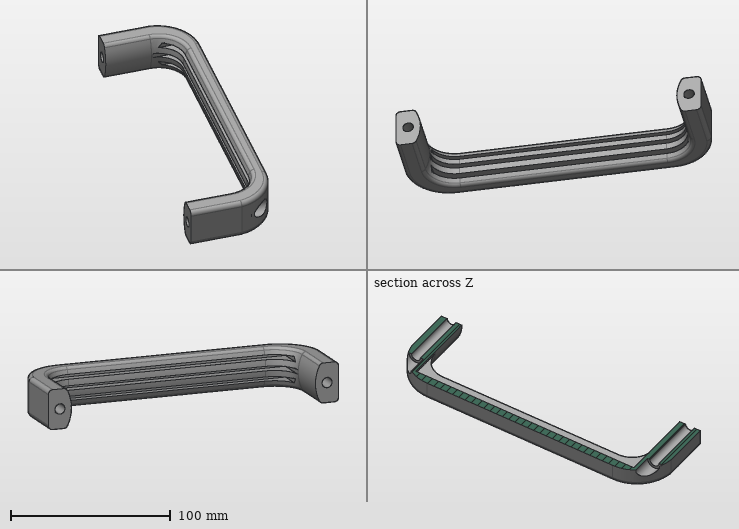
import cadquery as cq
import math

length = 195.0
depth = 58.0
height = 26.0
half_height = height / 2

outer_fillet = 3.0
crown_fillet = 3.0
crown_rise = 5.3
leg_thickness = 15.6
bar_thickness = 12.0
crown_radius = (
    (half_height - crown_fillet) ** 2 + crown_rise**2 - crown_fillet**2
) / (2 * (crown_rise - crown_fillet))

bend_start_y = 30.0
outer_bend_inset = 27.7
outer_bend_radius = depth - bend_start_y
inner_bend_inset = leg_thickness + depth - bar_thickness - bend_start_y
crown_edge_radius = inner_bend_inset - leg_thickness + crown_rise

hole_inset = leg_thickness / 2
hole_diameter = 6.6
counterbore_diameter = 10.3
counterbore_floor_y = 40.4

groove_width = 3.0
groove_pitch = 7.0
groove_depth = 6.2

clearance = 2.0
mid_x = length / 2


def outer_body():
    """Solid D-shaped plate with rounded outer edges."""
    corner_y = bend_start_y + math.sqrt(outer_bend_radius**2 - outer_bend_inset**2)
    corner_angle = math.acos(-outer_bend_inset / outer_bend_radius)
    mid_angle = (corner_angle + math.pi / 2) / 2
    arc_mid_x = outer_bend_inset + outer_bend_radius * math.cos(mid_angle)
    arc_mid_y = bend_start_y + outer_bend_radius * math.sin(mid_angle)
    plate = (
        cq.Workplane("XY", origin=(0, 0, -half_height))
        .lineTo(0, corner_y)
        .threePointArc((arc_mid_x, arc_mid_y), (outer_bend_inset, depth))
        .lineTo(length - outer_bend_inset, depth)
        .threePointArc((length - arc_mid_x, arc_mid_y), (length, corner_y))
        .lineTo(length, 0)
        .close()
        .extrude(height)
    )
    rims = plate.faces("|Z").edges().filter(lambda edge: edge.Center().y > clearance)
    return plate.newObject(rims.vals()).fillet(outer_fillet)


def window_profile(plane, reach):
    """Section of the space inside the crown, from its flat edge inward to reach."""
    fillet_z = half_height - crown_fillet
    crown_center = crown_rise - crown_radius
    stretch = crown_radius / (crown_radius - crown_fillet)
    tangent_x = crown_center - crown_center * stretch
    tangent_z = fillet_z * stretch
    tangent_angle = math.atan2(fillet_z, -crown_center)
    mid_angle = (tangent_angle + math.pi / 2) / 2
    mid_x_local = crown_fillet * math.cos(mid_angle)
    mid_z = fillet_z + crown_fillet * math.sin(mid_angle)
    limit_z = half_height + clearance
    return (
        cq.Workplane(plane)
        .moveTo(0, limit_z)
        .lineTo(0, half_height)
        .threePointArc((mid_x_local, mid_z), (tangent_x, tangent_z))
        .threePointArc((crown_rise, 0), (tangent_x, -tangent_z))
        .threePointArc((mid_x_local, -mid_z), (0, -half_height))
        .lineTo(0, -limit_z)
        .lineTo(reach, -limit_z)
        .lineTo(reach, limit_z)
        .close()
    )


def section_plane(x, y, inward, normal):
    """Plane whose local X runs inward and whose normal follows the handle."""
    return cq.Plane(origin=(x, y, 0), xDir=inward, normal=normal)


def half_window():
    """Left half of the space enclosed by the bar and legs."""
    reach = mid_x - inner_bend_inset + crown_edge_radius
    edge_x = inner_bend_inset - crown_edge_radius
    edge_y = bend_start_y + crown_edge_radius
    leg_plane = section_plane(edge_x, bend_start_y, (1, 0, 0), (0, -1, 0))
    leg_space = window_profile(leg_plane, reach).extrude(bend_start_y + clearance)
    bend_plane = section_plane(edge_x, bend_start_y, (1, 0, 0), (0, -1, 0))
    bend_space = window_profile(bend_plane, crown_edge_radius).revolve(
        360, (crown_edge_radius, 0, 0), (crown_edge_radius, 1, 0)
    )
    bar_plane = section_plane(inner_bend_inset, edge_y, (0, -1, 0), (1, 0, 0))
    bar_space = window_profile(bar_plane, crown_edge_radius + clearance).extrude(
        mid_x - inner_bend_inset
    )
    return leg_space.union(bend_space).union(bar_space)


def mounting_hole(x):
    """Through hole along Y with a counterbore open to the back of the bend."""
    bore = cq.Workplane("XZ", origin=(x, 0, 0)).circle(hole_diameter / 2).extrude(-depth)
    counterbore = (
        cq.Workplane("XZ", origin=(x, counterbore_floor_y, 0))
        .circle(counterbore_diameter / 2)
        .extrude(counterbore_floor_y - depth)
    )
    return bore.union(counterbore)


def groove(z):
    """Straight flat-floored slot spanning from leg to leg."""
    floor_y = depth - bar_thickness + groove_depth
    return cq.Workplane("XY").box(
        length - 2 * leg_thickness, floor_y - bend_start_y, groove_width
    ).translate((mid_x, (floor_y + bend_start_y) / 2, z))


result = outer_body()
left_window = half_window()
right_window = left_window.mirror("YZ", (mid_x, 0, 0))
result = result.cut(left_window).cut(right_window)
for hole_x in (hole_inset, length - hole_inset):
    result = result.cut(mounting_hole(hole_x))
for groove_z in (-groove_pitch, 0, groove_pitch):
    result = result.cut(groove(groove_z))